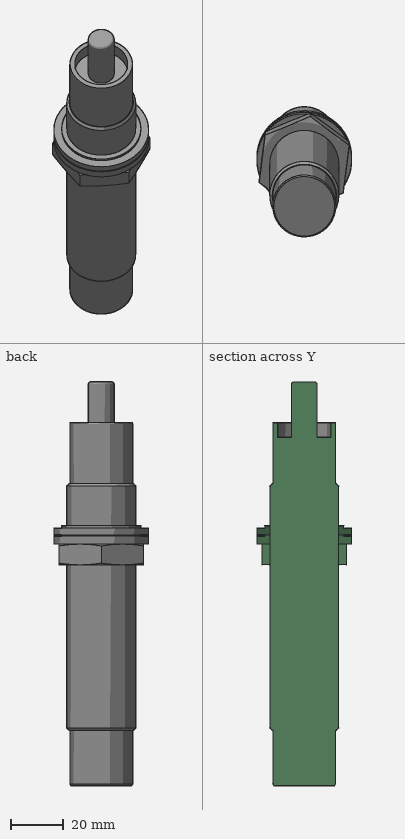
import cadquery as cq
import math

Z_LOWER_SHOULDER = 21.0
Z_NUT_BOTTOM = 83.7
Z_NUT_TOP = 91.5
Z_UPPER_WASHER = 95.0
Z_UPPER_SHOULDER = 114.5
Z_RIM = 137.5
Z_ROD_TOP = 153.0

END_DIAMETER = 23.9
BARREL_DIAMETER = 26.2
SHOULDER_DIAMETER = 24.3
SHOULDER_BEVEL_HEIGHT = 0.9
BOTTOM_BEVEL = 0.5
BOTTOM_BEVEL_HEIGHT = 0.8
RIM_BEVEL = 0.2
RIM_BEVEL_HEIGHT = 0.6
CUP_DIAMETER = 20.0
CUP_DEPTH = 5.5
ROD_DIAMETER = 10.0
ROD_FILLET = 1.0

WASHER_DIAMETER = 36.0
COLLAR_DIAMETER = 30.0
UPPER_DISC_THICKNESS = 2.6
UPPER_COLLAR_HEIGHT = 0.9
LOWER_COLLAR_HEIGHT = 0.5
LOWER_DISC_THICKNESS = Z_UPPER_WASHER - Z_NUT_TOP - LOWER_COLLAR_HEIGHT

NUT_CORNER_DIAMETER = 37.0
NUT_FACE_DIAMETER = NUT_CORNER_DIAMETER * math.cos(math.pi / 6)
NUT_BEVEL_ANGLE = math.radians(15)


def cylinder(diameter, bottom, top):
    """Upright cylinder centred on the Z axis."""
    return cq.Workplane("XY").workplane(offset=bottom).circle(diameter / 2).extrude(top - bottom)


def revolve_profile(points):
    """Solid turned about the Z axis from (radius, height) points."""
    return cq.Workplane("XZ").polyline(points).close().revolve(360, (0, 0), (0, 1))


def make_housing():
    """Stepped housing with an open cup on top and a rod standing in the cup."""
    end_radius = END_DIAMETER / 2
    barrel_radius = BARREL_DIAMETER / 2
    shoulder_radius = SHOULDER_DIAMETER / 2
    shell = revolve_profile([
        (0, 0),
        (end_radius - BOTTOM_BEVEL, 0),
        (end_radius, BOTTOM_BEVEL_HEIGHT),
        (end_radius, Z_LOWER_SHOULDER),
        (shoulder_radius, Z_LOWER_SHOULDER),
        (barrel_radius, Z_LOWER_SHOULDER + SHOULDER_BEVEL_HEIGHT),
        (barrel_radius, Z_UPPER_SHOULDER - SHOULDER_BEVEL_HEIGHT),
        (shoulder_radius, Z_UPPER_SHOULDER),
        (end_radius, Z_UPPER_SHOULDER),
        (end_radius, Z_RIM - RIM_BEVEL_HEIGHT),
        (end_radius - RIM_BEVEL, Z_RIM),
        (0, Z_RIM),
    ])
    cup_floor = Z_RIM - CUP_DEPTH
    shell = shell.cut(cylinder(CUP_DIAMETER, cup_floor, Z_RIM))
    rod = cylinder(ROD_DIAMETER, cup_floor, Z_ROD_TOP).faces(">Z").edges().fillet(ROD_FILLET)
    return shell.union(rod)


def make_washer(bottom, disc_thickness, collar_height):
    """Disc with a raised collar, bored to fit the barrel."""
    disc_top = bottom + disc_thickness
    collar_top = disc_top + collar_height
    washer = cylinder(WASHER_DIAMETER, bottom, disc_top)
    washer = washer.union(cylinder(COLLAR_DIAMETER, disc_top, collar_top))
    return washer.cut(cylinder(BARREL_DIAMETER, bottom, collar_top))


def make_nut():
    """Hexagonal nut with its corners bevelled at both ends."""
    hexagon = (
        cq.Workplane("XY").workplane(offset=Z_NUT_BOTTOM)
        .polygon(6, NUT_CORNER_DIAMETER)
        .extrude(Z_NUT_TOP - Z_NUT_BOTTOM)
        .rotate((0, 0, 0), (0, 0, 1), 90)
    )
    corner_radius = NUT_CORNER_DIAMETER / 2
    face_radius = NUT_FACE_DIAMETER / 2
    bevel_height = (corner_radius - face_radius) * math.tan(NUT_BEVEL_ANGLE)
    bevel_envelope = revolve_profile([
        (0, Z_NUT_BOTTOM),
        (face_radius, Z_NUT_BOTTOM),
        (corner_radius, Z_NUT_BOTTOM + bevel_height),
        (corner_radius, Z_NUT_TOP - bevel_height),
        (face_radius, Z_NUT_TOP),
        (0, Z_NUT_TOP),
    ])
    bore = cylinder(BARREL_DIAMETER, Z_NUT_BOTTOM, Z_NUT_TOP)
    return hexagon.intersect(bevel_envelope).cut(bore)


housing = make_housing()
lower_washer = make_washer(Z_NUT_TOP, LOWER_DISC_THICKNESS, LOWER_COLLAR_HEIGHT)
upper_washer = make_washer(Z_UPPER_WASHER, UPPER_DISC_THICKNESS, UPPER_COLLAR_HEIGHT)
nut = make_nut()

result = cq.Compound.makeCompound([
    housing.val(),
    lower_washer.val(),
    upper_washer.val(),
    nut.val(),
])